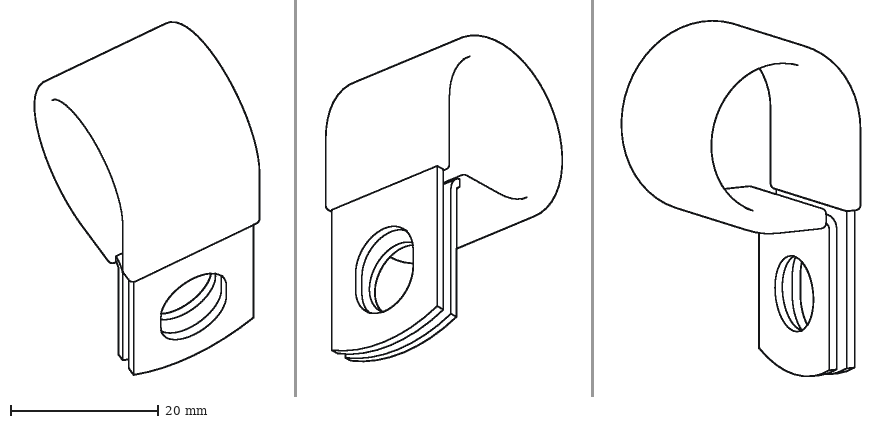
import cadquery as cq
import math

height = 48.0
sleeve_radius = 13.1
sleeve_thickness = 2.8
sleeve_width = 20.65
edge_radius = 0.75
upright_end_z = -11.1
foot_end_x = 7.7

strap_thickness = 1.3
bent_thickness = 1.15
strap_width = 18.95
bend_radius = 2.3
bent_tab_outer_x = 9.5
tab_sagitta = 2.1
hole_diameter = 10.32
hole_z = -23.75
slot_length = 12.8

middle_radius = sleeve_radius - sleeve_thickness / 2
bottom_z = sleeve_radius - height
cos45 = math.sqrt(0.5)


def extrude_centered(outline, width):
    """Extrude an XZ outline symmetrically about Y = 0."""
    return outline.extrude(width / 2, both=True)


def make_sleeve():
    outer = sleeve_radius
    inner = sleeve_radius - sleeve_thickness
    outline = (
        cq.Workplane("XZ")
        .moveTo(outer, upright_end_z)
        .lineTo(outer, 0)
        .threePointArc((-outer * cos45, outer * cos45), (0, -outer))
        .lineTo(foot_end_x, -outer)
        .lineTo(foot_end_x, -inner)
        .lineTo(0, -inner)
        .threePointArc((-inner * cos45, inner * cos45), (inner, 0))
        .lineTo(inner, upright_end_z)
        .close()
    )
    return extrude_centered(outline, sleeve_width).edges().fillet(edge_radius)


def make_straight_tab():
    """Flat tab leaving the upright end of the sleeve."""
    return cq.Workplane("XY").box(
        strap_thickness, strap_width, -bottom_z, centered=(True, True, False)
    ).translate((middle_radius, 0, bottom_z))


def make_bent_tab():
    """Tab leaving the foot of the sleeve and bending downward."""
    top_z = -middle_radius + bent_thickness / 2
    bend_x = bent_tab_outer_x - bend_radius
    bend_z = top_z - bend_radius
    inner_bend = bend_radius - bent_thickness
    outline = (
        cq.Workplane("XZ")
        .moveTo(0, top_z)
        .lineTo(bend_x, top_z)
        .threePointArc(
            (bend_x + bend_radius * cos45, bend_z + bend_radius * cos45),
            (bent_tab_outer_x, bend_z),
        )
        .lineTo(bent_tab_outer_x, bottom_z)
        .lineTo(bent_tab_outer_x - bent_thickness, bottom_z)
        .lineTo(bent_tab_outer_x - bent_thickness, bend_z)
        .threePointArc(
            (bend_x + inner_bend * cos45, bend_z + inner_bend * cos45),
            (bend_x, top_z - bent_thickness),
        )
        .lineTo(0, top_z - bent_thickness)
        .close()
    )
    return extrude_centered(outline, strap_width)


def make_tab_face():
    """Block with the tab silhouette, used to trim both tabs."""
    half_width = strap_width / 2
    corner_z = bottom_z + tab_sagitta
    return (
        cq.Workplane("YZ")
        .moveTo(-half_width, 0)
        .lineTo(-half_width, corner_z)
        .threePointArc((0, bottom_z), (half_width, corner_z))
        .lineTo(half_width, 0)
        .close()
        .extrude(sleeve_radius)
    )


tab_face = make_tab_face()
opening_plane = cq.Workplane("YZ").center(0, hole_z)
slot = opening_plane.slot2D(slot_length, hole_diameter, 90).extrude(sleeve_radius)
round_hole = opening_plane.circle(hole_diameter / 2).extrude(sleeve_radius)

straight_tab = make_straight_tab().intersect(tab_face).cut(slot)
bent_tab = make_bent_tab().intersect(tab_face).cut(round_hole)
result = make_sleeve().union(straight_tab).union(bent_tab)